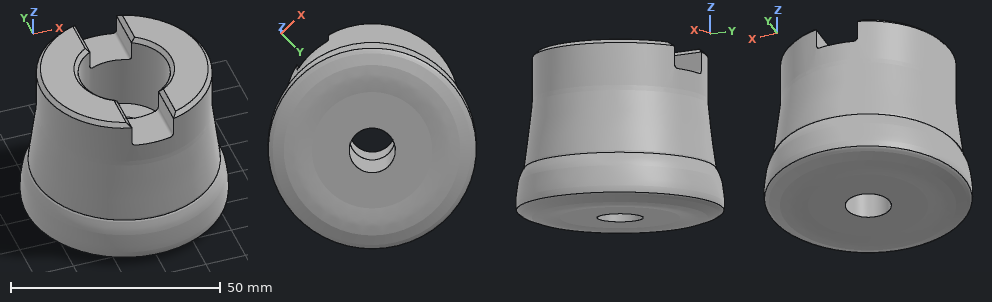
import cadquery as cq

total_height = 40.0
split_height = 12.1
through_hole_diameter = 11.0

neck_radius = 21.0
cone_base_radius = 22.95
cone_base_height = 12.5
cone_top_height = 28.05
neck_blend_radius = 10.0
edge_chamfer = 1.0
bore_diameter = 22.0
bore_depth = 19.95
hole_mouth_chamfer = 0.5

slot_width = 10.55
slot_depth = 6.4
slot_corner_radius = 1.0

head_radius = 24.95
widest_height = 3.65
shoulder_edge = (23.3, 11.7)
shoulder_base = (23.6, 11.05)
upper_flank = (24.45, 8.6)
upper_flank_middle = (24.1, 9.9)
lower_flank_middle = (24.85, 5.85)
lower_flank = (24.8, 2.1)
rim_middle = (24.55, 1.8)
rim_base = (24.2, 1.55)
underside_edge = (23.7, 1.25)

crown_radius = 17.7
crown_half_width = 3.35
recess_depth = 0.3


def holder_blank():
    """Turned outside shape: land, cone, blend, neck and top chamfer."""
    outline = (
        cq.Workplane("XZ")
        .moveTo(0, split_height)
        .lineTo(cone_base_radius, split_height)
        .lineTo(cone_base_radius, cone_base_height)
        .lineTo(neck_radius, cone_top_height)
        .lineTo(neck_radius, total_height)
        .lineTo(0, total_height)
        .close()
    )
    blank = outline.revolve(360, (0, 0), (0, 1))
    neck_corner = cq.selectors.BoxSelector(
        (-head_radius, -head_radius, cone_top_height - 0.5),
        (head_radius, head_radius, cone_top_height + 0.5),
        boundingbox=True,
    )
    blank = blank.edges(neck_corner).fillet(neck_blend_radius)
    return blank.faces(">Z").edges().chamfer(edge_chamfer)


def stepped_bore():
    """Turned cutter for the bore, its floor hole and both mouth chamfers."""
    hole_radius = through_hole_diameter / 2
    bore_radius = bore_diameter / 2
    floor_height = total_height - bore_depth
    return (
        cq.Workplane("XZ")
        .moveTo(0, split_height)
        .lineTo(hole_radius, split_height)
        .lineTo(hole_radius, floor_height - hole_mouth_chamfer)
        .lineTo(hole_radius + hole_mouth_chamfer, floor_height)
        .lineTo(bore_radius, floor_height)
        .lineTo(bore_radius, total_height - edge_chamfer)
        .lineTo(bore_radius + edge_chamfer, total_height)
        .lineTo(0, total_height)
        .close()
        .revolve(360, (0, 0), (0, 1))
    )


def drive_slot():
    """Cutter along Y with rounded floor corners and a chamfered mouth."""
    half_width = slot_width / 2
    mouth_half_width = half_width + edge_chamfer
    floor_height = total_height - slot_depth
    channel = (
        cq.Workplane("XY")
        .workplane(offset=floor_height)
        .rect(slot_width, 2 * head_radius)
        .extrude(slot_depth)
        .edges("|Y and <Z")
        .fillet(slot_corner_radius)
    )
    mouth = (
        cq.Workplane("XZ", origin=(0, head_radius, 0))
        .moveTo(-half_width, total_height - edge_chamfer)
        .lineTo(half_width, total_height - edge_chamfer)
        .lineTo(mouth_half_width, total_height)
        .lineTo(-mouth_half_width, total_height)
        .close()
        .extrude(2 * head_radius)
    )
    return channel.union(mouth)


def make_holder():
    return holder_blank().cut(stepped_bore()).cut(drive_slot())


def make_head():
    """Turned head with a curved flank, rounded rim and crowned underside."""
    hole_radius = through_hole_diameter / 2
    return (
        cq.Workplane("XZ")
        .moveTo(hole_radius, split_height)
        .lineTo(cone_base_radius, split_height)
        .lineTo(*shoulder_edge)
        .lineTo(*shoulder_base)
        .threePointArc(upper_flank_middle, upper_flank)
        .threePointArc(lower_flank_middle, (head_radius, widest_height))
        .tangentArcPoint(lower_flank, relative=False)
        .threePointArc(rim_middle, rim_base)
        .lineTo(*underside_edge)
        .lineTo(crown_radius + crown_half_width, recess_depth)
        .threePointArc((crown_radius, 0), (crown_radius - crown_half_width, recess_depth))
        .lineTo(hole_radius, recess_depth)
        .close()
        .revolve(360, (0, 0), (0, 1))
    )


holder = make_holder()
head = make_head()

result = cq.Compound.makeCompound([holder.val(), head.val()])